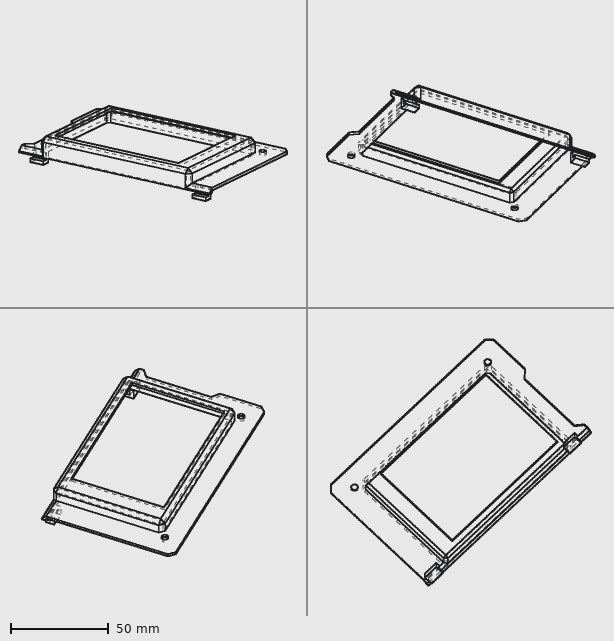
import cadquery as cq

OVERALL_LENGTH = 118.0
OVERALL_DEPTH = 73.75
OVERALL_HEIGHT = 15.2
SHEET = 1.6
BEVEL = 2.5

BEZEL_SIDE_MARGIN = 12.5
BEZEL_DEPTH = 62.5
BEZEL_RISE = 7.7

WINDOW_LEFT = 18.2
WINDOW_LENGTH = 76.4
WINDOW_FRONT = 6.2
WINDOW_DEPTH = 51.9

CORNER_CHAMFER = 3.0
NOTCH_DEPTH = 4.0
NOTCH_SLOPE = 3.2
NOTCH_FRONT = 5.0
NOTCH_BACK_INSET = 26.1

HOLE_DIAMETER = 3.5
HOLE_INSET_X = 10.7
HOLE_INSET_Y = 9.5

LIP_DROP = 3.25

HOOK_SPANS = ((6.5, 8.0), (106.75, 8.25))
HOOK_FRONT = 0.8
HOOK_REACH = 4.8
HOOK_THICKNESS = 2.0

FLANGE_TOP = SHEET
ROOF_TOP = FLANGE_TOP + BEZEL_RISE
HOOK_BOTTOM = ROOF_TOP - OVERALL_HEIGHT
LIP_BOTTOM = FLANGE_TOP - LIP_DROP
NOTCH_BACK = OVERALL_DEPTH - NOTCH_BACK_INSET
BEND_OFFSET = SHEET * (2**0.5 - 1)


def extrude_along_x(points, start, length):
    """Extrude a (Y, Z) outline along +X."""
    return cq.Workplane("YZ", origin=(start, 0, 0)).polyline(points).close().extrude(length)


def make_flange():
    """Flat sheet with a 45 degree front lip, trimmed to its notched outline."""
    section = [
        (0, LIP_BOTTOM),
        (0, FLANGE_TOP - BEVEL),
        (BEVEL, FLANGE_TOP),
        (OVERALL_DEPTH, FLANGE_TOP),
        (OVERALL_DEPTH, LIP_BOTTOM),
    ]
    outline = [
        (0, 0),
        (OVERALL_LENGTH, 0),
        (OVERALL_LENGTH, OVERALL_DEPTH - CORNER_CHAMFER),
        (OVERALL_LENGTH - CORNER_CHAMFER, OVERALL_DEPTH),
        (CORNER_CHAMFER, OVERALL_DEPTH),
        (0, OVERALL_DEPTH - CORNER_CHAMFER),
        (0, NOTCH_BACK),
        (NOTCH_DEPTH, NOTCH_BACK - NOTCH_SLOPE),
        (NOTCH_DEPTH, NOTCH_FRONT + NOTCH_SLOPE),
        (0, NOTCH_FRONT),
    ]
    trim = (
        cq.Workplane("XY", origin=(0, 0, LIP_BOTTOM))
        .polyline(outline)
        .close()
        .extrude(LIP_DROP)
    )
    return extrude_along_x(section, 0, OVERALL_LENGTH).intersect(trim)


def make_underside():
    """Space below the sheet, behind the lip."""
    bend = BEVEL + BEND_OFFSET
    section = [
        (bend + LIP_BOTTOM, LIP_BOTTOM),
        (bend, 0),
        (OVERALL_DEPTH, 0),
        (OVERALL_DEPTH, LIP_BOTTOM),
    ]
    return extrude_along_x(section, 0, OVERALL_LENGTH)


def make_bezel_block(inset, bevel):
    """Bevelled bezel block, shrunk inwards from the outer faces by an inset."""
    top = ROOF_TOP - inset
    return (
        cq.Workplane("XY")
        .box(
            OVERALL_LENGTH - 2 * (BEZEL_SIDE_MARGIN + inset),
            BEZEL_DEPTH - 2 * inset,
            top - LIP_BOTTOM,
            centered=False,
        )
        .translate((BEZEL_SIDE_MARGIN + inset, inset, LIP_BOTTOM))
        .edges("|Z or >Z")
        .chamfer(bevel)
    )


def make_window():
    """Cutter for the rectangular roof opening."""
    return (
        cq.Workplane("XY")
        .box(WINDOW_LENGTH, WINDOW_DEPTH, ROOF_TOP, centered=False)
        .translate((WINDOW_LEFT, WINDOW_FRONT, 0))
    )


def make_screw_holes():
    """Cutters for the two holes in the back corners of the flange."""
    hole_y = OVERALL_DEPTH - HOLE_INSET_Y
    centres = [(HOLE_INSET_X, hole_y), (OVERALL_LENGTH - HOLE_INSET_X, hole_y)]
    return cq.Workplane("XY").pushPoints(centres).circle(HOLE_DIAMETER / 2).extrude(FLANGE_TOP)


def make_hook(left, length):
    """L-shaped hook hanging from the flange, its foot pointing forward."""
    back = HOOK_FRONT + HOOK_REACH
    foot_top = HOOK_BOTTOM + HOOK_THICKNESS
    section = [
        (back, 0),
        (back, HOOK_BOTTOM),
        (HOOK_FRONT, HOOK_BOTTOM),
        (HOOK_FRONT, foot_top),
        (back - HOOK_THICKNESS, foot_top),
        (back - HOOK_THICKNESS, 0),
    ]
    return extrude_along_x(section, left, length)


outer_block = make_bezel_block(0, BEVEL)
cavity = make_bezel_block(SHEET, BEVEL + BEND_OFFSET - SHEET)

result = make_flange().union(outer_block)
result = result.cut(make_underside()).cut(cavity)
result = result.cut(make_window()).cut(make_screw_holes())
for hook_left, hook_length in HOOK_SPANS:
    result = result.union(make_hook(hook_left, hook_length))